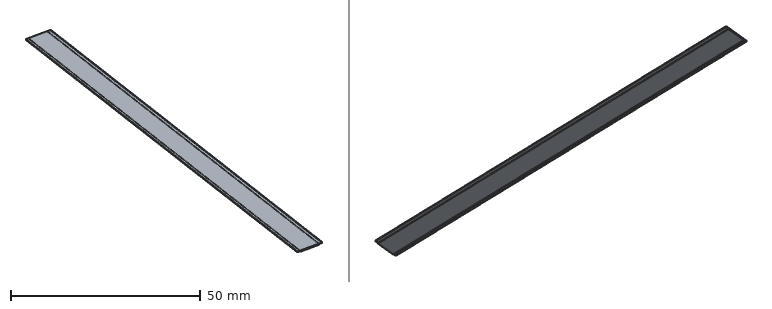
import cadquery as cq

length = 126.0
foot_width = 6.0
ledge_width = 0.97
thickness = 0.45
foot_height = 0.2

strip_width = foot_width + 2 * ledge_width
strip_thickness = thickness - foot_height
foot_bottom = -thickness / 2
strip_bottom = foot_bottom + foot_height


def bar(width, height, bottom):
    """Full-length rectangular bar centred on X and Y, standing on Z = bottom."""
    return (
        cq.Workplane("XY")
        .box(length, width, height, centered=(True, True, False))
        .translate((0, 0, bottom))
    )


foot = bar(foot_width, foot_height, foot_bottom)
strip = bar(strip_width, strip_thickness, strip_bottom)
result = strip.union(foot)